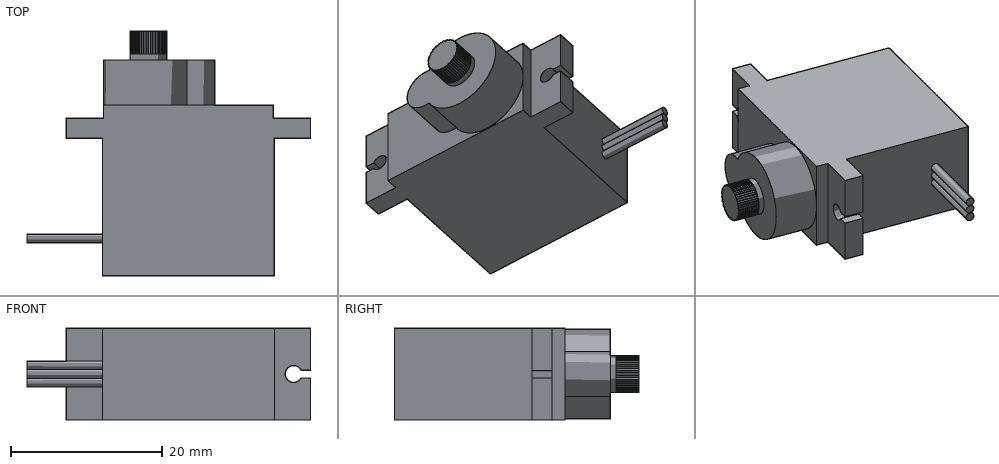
import cadquery as cq
import math


case_height = 12.18
case_length = 22.8
case_depth = 22.6
collar_length = 22.5
collar_depth = 1.7
case_bottom = -case_depth

gear_radius = 5.95
idler_radius = 3.0
idler_offset = 5.8
housing_height = 6.0

case_center_x = collar_length / 2 - gear_radius
case_left = case_center_x - case_length / 2

ear_span = 32.38
ear_thickness = 2.7
ear_hole_diameter = 2.2
ear_slot_width = 1.0
ear_hole_inset = 2.25

shaft_diameter = 4.9
shaft_length = 3.8
neck_length = 0.75
tooth_count = 25
tooth_depth = 0.08
tooth_tip_share = 0.35
tooth_base_share = 0.6

wire_diameter = 1.15
wire_count = 3
wire_pitch = 1.145
wire_length = 10.0
wire_embed = 0.5
wire_height = 4.95


def block(length, center_x, y_low, y_high):
    """Full-height block between two Y levels."""
    depth = y_high - y_low
    center = (center_x, (y_low + y_high) / 2, 0)
    return cq.Workplane("XY").box(length, depth, case_height).translate(center)


def plane_facing_shaft_end(y):
    """Plane at the given Y whose normal is +Y, with local X along -X and local Y along +Z."""
    return cq.Workplane(cq.Plane(origin=(0, y, 0), xDir=(-1, 0, 0), normal=(0, 1, 0)))


def polar_point(radius, angle):
    """Local point at a radius and an angle in radians."""
    return (radius * math.cos(angle), radius * math.sin(angle))


def make_case():
    """Rectangular case with a slotted mounting ear at each end and a short collar beyond the ears."""
    ear_top = -collar_depth
    ear_bottom = ear_top - ear_thickness
    body = block(case_length, case_center_x, case_bottom, ear_bottom)
    ears = block(ear_span, case_center_x, ear_bottom, ear_top)
    collar = block(collar_length, case_center_x, ear_top, 0)
    for side in (-1, 1):
        ear_end = case_center_x + side * ear_span / 2
        hole_x = ear_end - side * ear_hole_inset
        hole = (
            plane_facing_shaft_end(ear_bottom)
            .center(-hole_x, 0)
            .circle(ear_hole_diameter / 2)
            .extrude(ear_thickness)
        )
        slot = cq.Workplane("XY").box(ear_hole_inset, ear_thickness, ear_slot_width)
        slot_center = ((hole_x + ear_end) / 2, (ear_bottom + ear_top) / 2, 0)
        ears = ears.cut(hole).cut(slot.translate(slot_center))
    return body.union(ears).union(collar)


def make_gear_housing():
    """Large round bulge around the shaft, running into a smaller one through flat sides."""
    base = plane_facing_shaft_end(0)
    gear_bulge = base.circle(gear_radius).extrude(housing_height)
    idler_bulge = base.center(-idler_offset, 0).circle(idler_radius).extrude(housing_height)
    bridge = base.center(-idler_offset / 2, 0).rect(idler_offset, 2 * idler_radius).extrude(housing_height)
    return gear_bulge.union(bridge).union(idler_bulge)


def make_shaft():
    """Plain round neck followed by a spline of shallow trapezoid teeth."""
    tip_radius = shaft_diameter / 2
    neck = plane_facing_shaft_end(housing_height).circle(tip_radius).extrude(neck_length)
    root_radius = tip_radius - tooth_depth
    tooth_angle = 2 * math.pi / tooth_count
    half_tip = tooth_tip_share * tooth_angle / 2
    half_base = tooth_base_share * tooth_angle / 2
    outline = []
    for i in range(tooth_count):
        middle = i * tooth_angle
        outline.append(polar_point(root_radius, middle - half_base))
        outline.append(polar_point(tip_radius, middle - half_tip))
        outline.append(polar_point(tip_radius, middle + half_tip))
        outline.append(polar_point(root_radius, middle + half_base))
    spline_start = housing_height + neck_length
    spline_length = shaft_length - neck_length
    spline = plane_facing_shaft_end(spline_start).polyline(outline).close().extrude(spline_length)
    return neck.union(spline)


def make_wire(z):
    """One wire of the cable, leaving the case along -X at the given height in Z."""
    return (
        cq.Workplane("YZ", origin=(case_left - wire_length, case_bottom + wire_height, z))
        .circle(wire_diameter / 2)
        .extrude(wire_length + wire_embed)
    )


result = make_case().union(make_gear_housing()).union(make_shaft())
for i in range(wire_count):
    wire_z = (i - (wire_count - 1) / 2) * wire_pitch
    result = result.union(make_wire(wire_z))